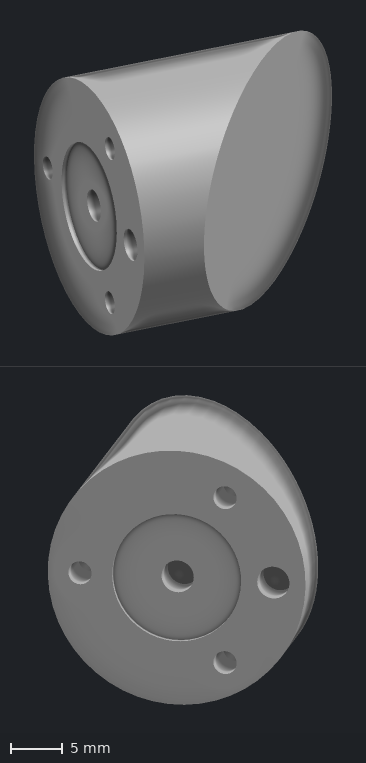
import cadquery as cq
import math

diameter = 25.4
long_side = 31.75
short_side = long_side - diameter
radius = diameter / 2

recess_diameter = 12.7
recess_depth = 0.5
pin_hole_diameter = 3.18
pin_hole_depth = 3.18
bolt_circle_radius = 9.52
screw_hole_diameter = 2.3
screw_hole_depth = 5.08
drill_point_angle = 118.0
screw_hole_angles = (60, 180, 300)


def make_body():
    """Cylinder bounded by the sloping end: the side profile trims the round bar."""
    profile = [(-radius, 0), (radius, 0), (radius, short_side), (-radius, long_side)]
    wedge = cq.Workplane("XY").polyline(profile).close().extrude(radius, both=True)
    return base_cylinder(0, 0, diameter, long_side).intersect(wedge)


def base_cylinder(x, z, hole_diameter, depth):
    """Cylinder reaching from the base face into +Y."""
    axis = cq.Vector(0, 1, 0)
    return cq.Workplane(cq.Solid.makeCylinder(hole_diameter / 2, depth, cq.Vector(x, 0, z), axis))


def drilled_hole(x, z):
    """Blind hole with a conical drill point."""
    hole_radius = screw_hole_diameter / 2
    tip_depth = hole_radius / math.tan(math.radians(drill_point_angle / 2))
    cone_start = cq.Vector(x, screw_hole_depth, z)
    tip = cq.Solid.makeCone(hole_radius, 0, tip_depth, cone_start, cq.Vector(0, 1, 0))
    return base_cylinder(x, z, screw_hole_diameter, screw_hole_depth).union(cq.Workplane(tip))


result = make_body()

result = result.cut(base_cylinder(0, 0, recess_diameter, recess_depth))
result = result.cut(base_cylinder(0, 0, pin_hole_diameter, recess_depth + pin_hole_depth))

result = result.cut(base_cylinder(bolt_circle_radius, 0, pin_hole_diameter, pin_hole_depth))

for angle in screw_hole_angles:
    hole_x = bolt_circle_radius * math.cos(math.radians(angle))
    hole_z = bolt_circle_radius * math.sin(math.radians(angle))
    result = result.cut(drilled_hole(hole_x, hole_z))